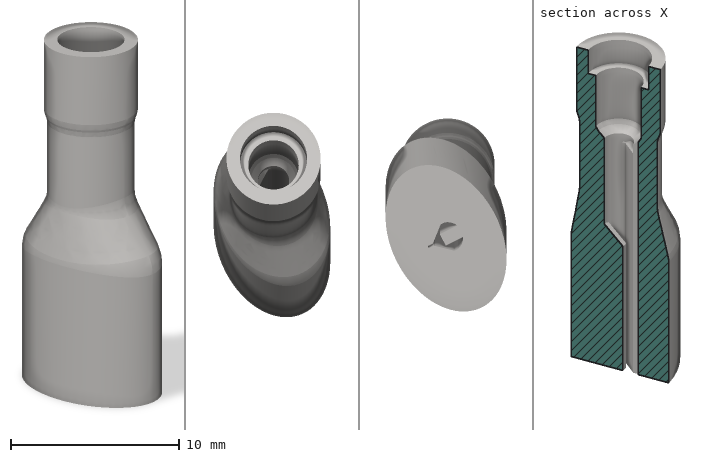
import cadquery as cq

total_height = 22.05

body_length = 9.4
body_width = 6.5
body_offset_y = 0.1
body_height = 8.8

neck_radius = 2.6
neck_start_z = 12.0
body_blend_radius = 2.0
neck_blend_radius = 2.0

collar_radius = 2.8
shoulder_bottom_z = 17.01
shoulder_top_z = 17.495
shoulder_blend_bottom = 0.85
shoulder_blend_top = 1.0

entry_radius = 2.0
entry_depth = 1.65
bore_radius = 1.5
bore_bottom_z = 16.8

cone_radius = 1.33
rim_bevel_height = 0.28
throat_radius = 0.93
cone_height = 0.4

gable_peak_y = 1.02
gable_foot_y = 0.0
gable_foot_x = 0.9
gable_depth = 0.6
gable_flare = 0.35
slit_width = 0.14
slit_end_y = 1.28

tongue_width = 0.78
tongue_tip_y = 0.315
tongue_tip_z = body_height
tongue_slope = 1.0

edge_band = 0.05

entry_bottom_z = total_height - entry_depth
cone_top_z = bore_bottom_z - rim_bevel_height
throat_z = cone_top_z - cone_height
channel_top_z = throat_z - gable_depth


def blend_edges_at(solid, z, radius):
    """Fillet the closed edge lying at height z."""
    reach = body_length
    band = cq.selectors.BoxSelector(
        (-reach, -reach, z - edge_band),
        (reach, reach, z + edge_band),
    )
    return solid.edges(band).fillet(radius)


def make_sleeve():
    """Oval body lofted to the round neck, with both loft edges blended."""
    body = (
        cq.Workplane("XY")
        .center(0, body_offset_y)
        .ellipse(body_length / 2, body_width / 2)
        .extrude(body_height)
    )
    transition = (
        cq.Workplane("XY", origin=(0, 0, body_height))
        .center(0, body_offset_y)
        .ellipse(body_length / 2, body_width / 2)
        .workplane(offset=neck_start_z - body_height)
        .center(0, -body_offset_y)
        .circle(neck_radius)
        .loft(combine=True)
    )
    neck = (
        cq.Workplane("XY", origin=(0, 0, neck_start_z))
        .circle(neck_radius)
        .extrude(shoulder_bottom_z - neck_start_z)
    )
    sleeve = body.union(transition).union(neck)
    sleeve = blend_edges_at(sleeve, body_height, body_blend_radius)
    return blend_edges_at(sleeve, neck_start_z, neck_blend_radius)


def make_collar():
    """Collar on a conical shoulder whose two edges are blended into an S."""
    collar = (
        cq.Workplane("XZ")
        .moveTo(0, neck_start_z)
        .lineTo(neck_radius, neck_start_z)
        .lineTo(neck_radius, shoulder_bottom_z)
        .lineTo(collar_radius, shoulder_top_z)
        .lineTo(collar_radius, total_height)
        .lineTo(0, total_height)
        .close()
        .revolve(360, (0, 0, 0), (0, 1, 0))
    )
    collar = blend_edges_at(collar, shoulder_bottom_z, shoulder_blend_bottom)
    return blend_edges_at(collar, shoulder_top_z, shoulder_blend_top)


def make_wire_entry():
    """Stepped round bore ending in a bevelled funnel."""
    return (
        cq.Workplane("XZ")
        .moveTo(0, throat_z)
        .lineTo(throat_radius, throat_z)
        .lineTo(cone_radius, cone_top_z)
        .lineTo(bore_radius, bore_bottom_z)
        .lineTo(bore_radius, entry_bottom_z)
        .lineTo(entry_radius, entry_bottom_z)
        .lineTo(entry_radius, total_height)
        .lineTo(0, total_height)
        .close()
        .revolve(360, (0, 0, 0), (0, 1, 0))
    )


def gable(plane, grow):
    """House-shaped outline peaking toward +Y, the eaves moved out by grow and the peak by twice that."""
    half_width = gable_foot_x + grow
    return plane.polyline(
        [
            (-half_width, -throat_radius),
            (half_width, -throat_radius),
            (half_width, gable_foot_y + grow),
            (0, gable_peak_y + 2 * grow),
            (-half_width, gable_foot_y + grow),
        ]
    ).close()


def make_channel():
    """Round channel with a gabled side, flaring up to the full circle at the throat."""
    straight = gable(cq.Workplane("XY"), 0).extrude(channel_top_z)
    flare_start = gable(cq.Workplane("XY", origin=(0, 0, channel_top_z)), 0)
    flare = gable(flare_start.workplane(offset=gable_depth), gable_flare).loft(ruled=True)
    round_channel = cq.Workplane("XY").circle(throat_radius).extrude(throat_z)
    return straight.union(flare).intersect(round_channel)


def make_slit():
    """Narrow slit from the channel to the gable side, open down to the base."""
    return (
        cq.Workplane("XY")
        .center(0, slit_end_y / 2)
        .rect(slit_width, slit_end_y)
        .extrude(cone_top_z)
    )


def make_tongue():
    """Ramp-topped tongue rooted in the -Y wall of the channel."""
    tongue_root_y = -bore_radius
    tongue_root_z = tongue_tip_z + tongue_slope * (tongue_tip_y - tongue_root_y)
    return (
        cq.Workplane("YZ")
        .moveTo(tongue_root_y, 0)
        .lineTo(tongue_tip_y, 0)
        .lineTo(tongue_tip_y, tongue_tip_z)
        .lineTo(tongue_root_y, tongue_root_z)
        .close()
        .extrude(tongue_width / 2, both=True)
    )


result = (
    make_sleeve()
    .union(make_collar())
    .cut(make_wire_entry())
    .cut(make_channel())
    .cut(make_slit())
    .union(make_tongue())
)